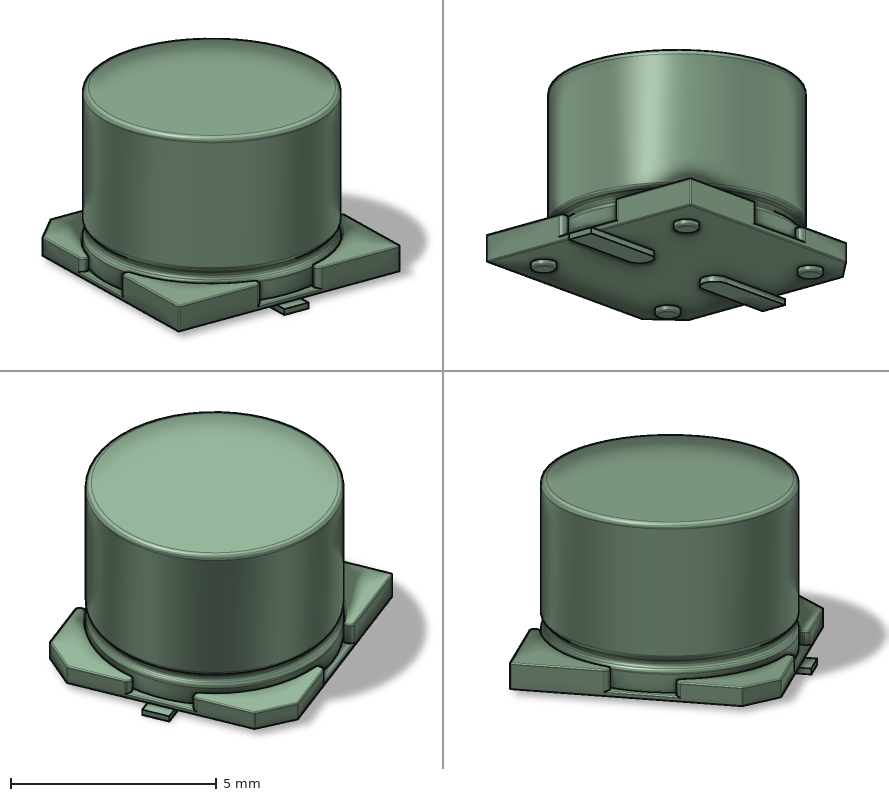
import cadquery as cq
import math

overall_length = 7.2
overall_height = 4.7

base_side = 6.6
base_bottom = 0.16
floor_top = 0.3
low_pad_top = 0.67
tall_pad_top = 0.86
corner_cut = 0.81
edge_round = 0.035
corner_round = 0.035
notch_width = 1.655
nose_outer_round = 0.13
nose_inner_round = 0.09
pocket_radius = 3.175

can_radius = 6.3 / 2
can_top_round = 0.14
neck_radius = 3.0
groove_top = 1.26
groove_bottom = 0.785

lead_width = 0.72
lead_thickness = base_bottom
lead_inner_end = 1.04
foot_diameter = 0.63
foot_offset = 2.305
foot_round = 0.05

edge_tolerance = 0.0035

half_side = base_side / 2
half_notch = notch_width / 2
pad_bottom = base_bottom + edge_round


def corner_pad(x_sign, y_sign, top, chamfered):
    """One raised corner pad, hollowed by the can pocket, with rounded noses beside the notches."""
    pad_side = half_side - half_notch
    pad_centre = (half_side + half_notch) / 2
    pad = (
        cq.Workplane("XY", origin=(pad_centre, pad_centre, pad_bottom))
        .rect(pad_side, pad_side)
        .extrude(top - pad_bottom)
    )
    pocket = cq.Workplane("XY", origin=(0, 0, pad_bottom)).circle(pocket_radius).extrude(top)
    pad = pad.cut(pocket)

    nose_inner = math.sqrt(pocket_radius**2 - half_notch**2)
    pad = edges_at(pad, half_notch, half_side).fillet(nose_outer_round)
    pad = edges_at(pad, half_notch, nose_inner).fillet(nose_inner_round)
    if chamfered:
        pad = edges_at(pad, half_side, half_side).chamfer(corner_cut)
        pad = edges_at(pad, half_side, half_side - corner_cut).fillet(corner_round)
    else:
        pad = edges_at(pad, half_side, half_side).fillet(corner_round)
    pad = pad.faces(">Z").edges().fillet(edge_round)

    if x_sign < 0:
        pad = pad.mirror("YZ")
    if y_sign < 0:
        pad = pad.mirror("XZ")
    return pad


def edges_at(pad, a, b):
    """Vertical pad edges standing at (a, b) and at its mirror point (b, a)."""
    return pad.edges("|Z").filter(
        lambda edge: any(
            math.hypot(edge.Center().x - x, edge.Center().y - y) < edge_tolerance for x, y in ((a, b), (b, a))
        )
    )


def base():
    """Thin floor plate carrying two low chamfered pads (-X) and two tall square pads (+X)."""
    floor = (
        cq.Workplane("XY", origin=(0, 0, base_bottom))
        .rect(base_side, base_side)
        .extrude(floor_top - base_bottom)
    )
    floor = floor.edges("|Z and <X").chamfer(corner_cut)
    floor = floor.edges("|Z").fillet(corner_round)
    body = floor.faces("<Z or >Z").edges().fillet(edge_round)
    for y_sign in (-1, 1):
        body = body.union(corner_pad(-1, y_sign, low_pad_top, True))
        body = body.union(corner_pad(1, y_sign, tall_pad_top, False))
    return body


def can():
    """Revolved can with a rolled neck groove, a smooth run of four equal-radius arcs, above the base."""
    top_flat_radius = can_radius - can_top_round
    arc_depth = (can_radius - neck_radius) / 2
    arc_rise = (groove_top - groove_bottom) / 4
    groove_round = (arc_depth**2 + arc_rise**2) / (2 * arc_depth)
    middle_radius = can_radius - arc_depth
    profile = (
        cq.Workplane("XZ")
        .moveTo(0, floor_top)
        .lineTo(can_radius, floor_top)
        .lineTo(can_radius, groove_bottom)
        .radiusArc((middle_radius, groove_bottom + arc_rise), -groove_round)
        .radiusArc((neck_radius, groove_bottom + 2 * arc_rise), groove_round)
        .radiusArc((middle_radius, groove_top - arc_rise), groove_round)
        .radiusArc((can_radius, groove_top), -groove_round)
        .lineTo(can_radius, overall_height - can_top_round)
        .radiusArc((top_flat_radius, overall_height), -can_top_round)
        .lineTo(0, overall_height)
        .close()
    )
    return profile.revolve()


def lead(x_sign):
    """Flat terminal with a fully rounded inner end."""
    round_centre = lead_inner_end + lead_width / 2
    half_width = lead_width / 2
    return (
        cq.Workplane("XY")
        .moveTo(x_sign * overall_length / 2, half_width)
        .lineTo(x_sign * round_centre, half_width)
        .threePointArc((x_sign * lead_inner_end, 0), (x_sign * round_centre, -half_width))
        .lineTo(x_sign * overall_length / 2, -half_width)
        .close()
        .extrude(lead_thickness)
    )


def feet():
    """Four round standoff feet with rounded lower rims."""
    return (
        cq.Workplane("XY")
        .rect(2 * foot_offset, 2 * foot_offset, forConstruction=True)
        .vertices()
        .circle(foot_diameter / 2)
        .extrude(base_bottom)
        .faces("<Z")
        .edges()
        .fillet(foot_round)
    )


result = base().union(can()).union(lead(-1)).union(lead(1)).union(feet())